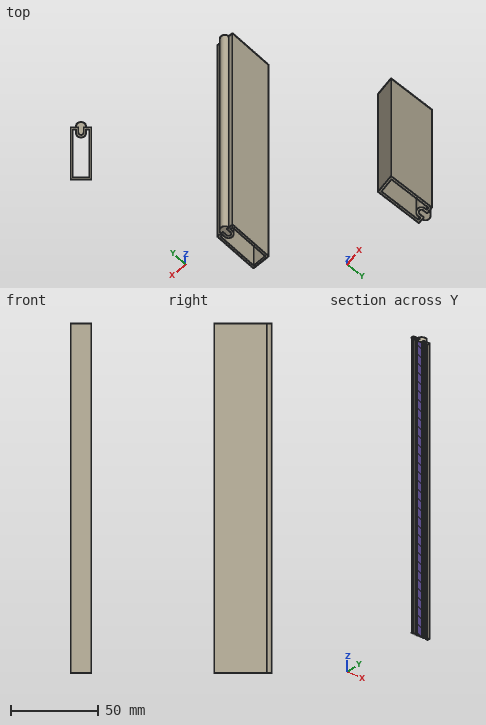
import cadquery as cq

length = 200.0
tube_width = 12.0
tube_depth = 30.0
wall = 1.5
channel_radius = 1.5
channel_outer_radius = 3.0
head_height = 3.0
head_side_height = 0.5

rear_face = tube_depth / 2
channel_center = rear_face - 2 * channel_radius
head_half_width = channel_outer_radius
head_shoulder = rear_face + head_side_height
inner_rear_face = rear_face - wall


def u_profile(radius, top):
    """Extruded U section: open at the given Y, with a round bottom."""
    return (
        cq.Workplane("XY")
        .moveTo(-radius, top)
        .lineTo(-radius, channel_center)
        .threePointArc((0, channel_center - radius), (radius, channel_center))
        .lineTo(radius, top)
        .close()
        .extrude(length)
    )


def make_tube():
    """Rectangular tube with a U-shaped channel recessed into its rear wall."""
    outside = cq.Workplane("XY").rect(tube_width, tube_depth).extrude(length)
    bore = cq.Workplane("XY").rect(tube_width - 2 * wall, tube_depth - 2 * wall).extrude(length)
    channel_wall = u_profile(channel_outer_radius, inner_rear_face)
    channel = u_profile(channel_radius, rear_face)
    return outside.cut(bore).union(channel_wall).cut(channel)


def make_strip():
    """Strip with a round-topped head outside the tube and a stem that fills the channel."""
    head = (
        cq.Workplane("XY")
        .moveTo(-head_half_width, rear_face)
        .lineTo(-head_half_width, head_shoulder)
        .threePointArc((0, rear_face + head_height), (head_half_width, head_shoulder))
        .lineTo(head_half_width, rear_face)
        .close()
        .extrude(length)
    )
    stem = u_profile(channel_radius, rear_face)
    return head.union(stem)


tube = make_tube()
strip = make_strip()

result = cq.Compound.makeCompound([tube.val(), strip.val()])